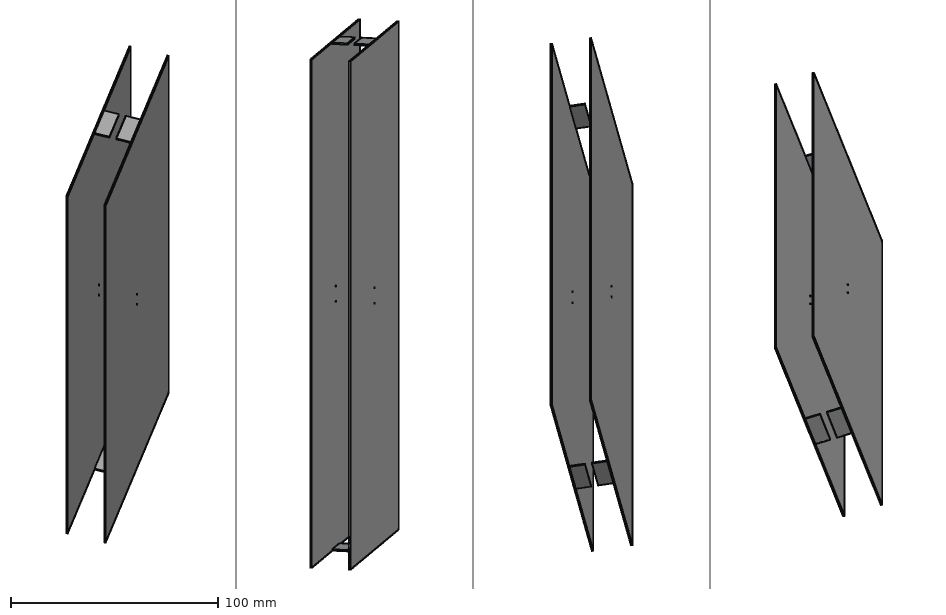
import cadquery as cq

overall_width = 20.0
sheet_depth = 100.0
sheet_height = 250.0
sheet_thickness = 0.8

hole_diameter = 0.5
hole_spacing = 7.5

tab_length = 7.5
tab_depth = 15.0
tab_thickness = 0.8

inner_face_x = overall_width / 2 - sheet_thickness


def make_sheet(side):
    """Upright sheet with its two holes; side is -1 for the left and 1 for the right."""
    center_x = side * (inner_face_x + sheet_thickness / 2)
    sheet = cq.Workplane("XY").box(sheet_thickness, sheet_depth, sheet_height)
    sheet = (
        sheet.faces(">X")
        .workplane(centerOption="CenterOfBoundBox")
        .rarray(2.5, hole_spacing, 1, 2)
        .hole(hole_diameter)
    )
    return sheet.translate((center_x, 0, 0))


def make_tab(side, end):
    """Flat tab touching one sheet; end is -1 for the bottom and 1 for the top."""
    center_x = side * (inner_face_x - tab_length / 2)
    center_z = end * (sheet_height - tab_thickness) / 2
    return cq.Workplane("XY").box(tab_length, tab_depth, tab_thickness).translate((center_x, 0, center_z))


sheets = [make_sheet(side) for side in (-1, 1)]
tabs = [make_tab(side, end) for side in (-1, 1) for end in (-1, 1)]

result = cq.Compound.makeCompound([body.val() for body in sheets + tabs])